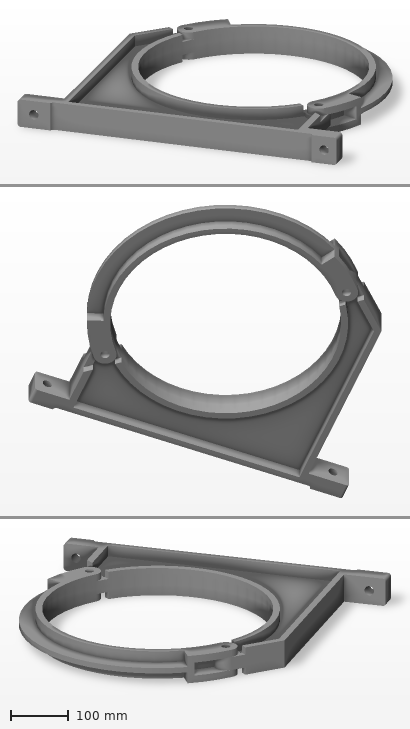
import cadquery as cq
import math


height = 50.0
bore_radius = 200.0
ring_radius = 240.0
wall = 11.5
right_wall = 13.0
web_thickness = 10.0
pivot_angle = 140.0
pivot_hole_diameter = 16.0
tongue_thickness = 24.0
notch_offset = 25.0
boss_radius = 24.5
fork_span = 20.0
slot_span = 17.0

base_length = 584.0
base_left = -332.0
base_bottom = -288.0
foot_height = 30.5
body_left = -256.5
foot_hole_diameter = 17.0
left_hole_inset = 30.0
right_hole_inset = 23.0
foot_corner_radius = 5.0
relief_depth = 5.0
left_pad_length = 61.0
right_pad_length = 45.5

mid_z = height / 2
lip_radius = bore_radius + wall
pivot_radius = (bore_radius + ring_radius) / 2
ear_radius = (ring_radius - bore_radius) / 2
pivot_x = pivot_radius * math.cos(math.radians(pivot_angle))
pivot_y = pivot_radius * math.sin(math.radians(pivot_angle))
pivots = [(pivot_x, pivot_y), (-pivot_x, -pivot_y)]
bow_start = pivot_angle - 180
bow_end = pivot_angle
base_right = base_left + base_length
base_top = base_bottom + foot_height
relief_y = base_bottom + relief_depth
body_right = -pivot_x + ear_radius
reach = 2 * ring_radius


def polygon(points):
    """Full-height prism of the given outline."""
    return cq.Workplane("XY").polyline(points).close().extrude(height)


def discs(centers, radius, thickness):
    """Round pillars centred on mid-height."""
    plane = cq.Workplane("XY").workplane(offset=mid_z - thickness / 2)
    return plane.pushPoints(centers).circle(radius).extrude(thickness)


def polar(radius, angle):
    """Point at a radius and an angle in degrees around the bore axis."""
    return (radius * math.cos(math.radians(angle)), radius * math.sin(math.radians(angle)))


def ring_sector(inner, outer, start, end, thickness):
    """Part of a ring between two angles, centred on mid-height."""
    middle = (start + end) / 2
    plane = cq.Workplane("XY").workplane(offset=mid_z - thickness / 2)
    return (
        plane.moveTo(*polar(inner, start))
        .lineTo(*polar(outer, start))
        .threePointArc(polar(outer, middle), polar(outer, end))
        .lineTo(*polar(inner, end))
        .threePointArc(polar(inner, middle), polar(inner, start))
        .close()
        .extrude(thickness)
    )


def half_space(offset, thickness, center_z):
    """Block on the bow side of a line parallel to the pivot line, shifted towards the base."""
    block = cq.Workplane("XY").box(2 * reach, reach, thickness)
    block = block.translate((0, reach / 2 - offset, center_z))
    return block.rotate((0, 0, 0), (0, 0, 1), bow_start)


def bracket_outline(left, right, bottom, slope_distance):
    """Outline closed along the pivot line, with a 45 degree upper left edge."""
    slope_rise = slope_distance * math.sqrt(2)
    shift = (slope_rise - (pivot_y - pivot_x)) / 2
    return [
        (left, bottom),
        (left, left + slope_rise),
        (pivot_x - shift, pivot_y + shift),
        (pivot_x, pivot_y),
        (-pivot_x, -pivot_y),
        (right, -pivot_y),
        (right, bottom),
    ]


def make_base():
    """Foot bar with rounded ends, a set-back middle and one bolt hole per foot."""
    relief_left = base_left + left_pad_length
    relief_right = base_right - right_pad_length
    cove_middle = relief_depth * (1 - math.sqrt(0.5))
    bar = (
        cq.Workplane("XY")
        .moveTo(base_left, base_bottom)
        .lineTo(relief_left, base_bottom)
        .threePointArc(
            (relief_left + cove_middle, relief_y - cove_middle),
            (relief_left + relief_depth, relief_y),
        )
        .lineTo(relief_right - relief_depth, relief_y)
        .threePointArc(
            (relief_right - cove_middle, relief_y - cove_middle),
            (relief_right, base_bottom),
        )
        .lineTo(base_right, base_bottom)
        .lineTo(base_right, base_top)
        .lineTo(base_left, base_top)
        .close()
        .extrude(height)
    )
    bar = bar.edges("|Y and (<X or >X)").fillet(foot_corner_radius)
    holes = (
        cq.Workplane("XZ", origin=(0, base_top, 0))
        .pushPoints([(base_left + left_hole_inset, mid_z), (base_right - right_hole_inset, mid_z)])
        .circle(foot_hole_diameter / 2)
        .extrude(foot_height)
    )
    return bar.cut(holes)


def make_pockets():
    """Recesses on both faces, kept clear of the bore lip and the pivots."""
    outline = bracket_outline(
        body_left + wall, body_right - right_wall, relief_y + wall, ring_radius - wall
    )
    lip = discs([(0, 0)], lip_radius, height)
    bosses = discs(pivots, boss_radius, height)
    right_boss = polygon(
        [
            (-pivot_x, -pivot_y - boss_radius),
            (body_right, -pivot_y - boss_radius),
            (body_right, -pivot_y),
            (-pivot_x, -pivot_y),
        ]
    )
    web = cq.Workplane("XY").box(2 * reach, 2 * reach, web_thickness).translate((0, 0, mid_z))
    return polygon(outline).cut(lip).cut(bosses).cut(right_boss).cut(web)


def make_bracket():
    """Pocketed bracket on its base, stepped down to a rounded tongue at each pivot."""
    body = polygon(bracket_outline(body_left, body_right, relief_y, ring_radius))
    body = body.union(make_base()).union(discs(pivots, ear_radius, height))
    body = body.cut(discs([(0, 0)], bore_radius, height)).cut(make_pockets())
    notch_depth = (height - tongue_thickness) / 2
    for center_z in (notch_depth / 2, height - notch_depth / 2):
        body = body.cut(half_space(notch_offset, notch_depth, center_z))
    return body


def make_bow():
    """Half ring with a forked end at each pivot and a flanged stretch between them."""
    flange_start = bow_start + fork_span
    flange_end = bow_end - fork_span
    bow = ring_sector(bore_radius, lip_radius, bow_start, bow_end, height)
    bow = bow.union(ring_sector(bore_radius, ring_radius, flange_start, flange_end, web_thickness))
    for start, end in ((bow_start, flange_start), (flange_end, bow_end)):
        bow = bow.union(ring_sector(bore_radius, ring_radius, start, end, height))
    for start, end in ((bow_start, bow_start + slot_span), (bow_end - slot_span, bow_end)):
        bow = bow.cut(ring_sector(lip_radius, reach, start, end, tongue_thickness))
    ears = discs(pivots, ear_radius, height).cut(discs(pivots, ear_radius, tongue_thickness))
    return bow.union(ears)


pivot_holes = discs(pivots, pivot_hole_diameter / 2, height)
result = make_bracket().union(make_bow()).cut(pivot_holes)